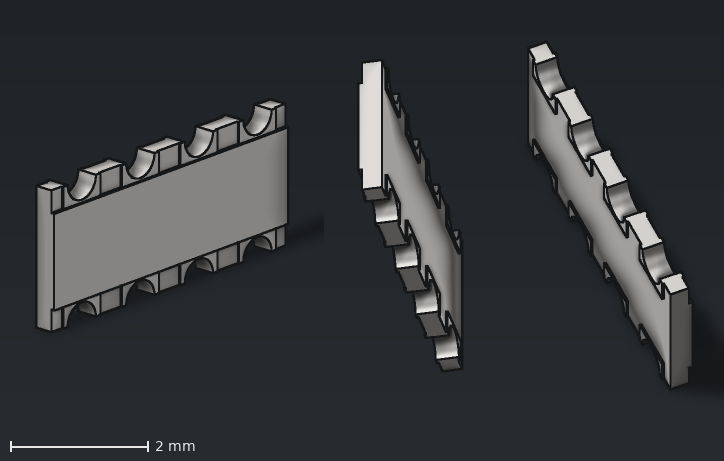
import cadquery as cq

plate_thickness = 0.3
plate_length = 5.08
plate_height = 2.2

terminal_count = 4
terminal_pitch = 1.27
terminal_width = 0.805
terminal_height = 0.35
pad_thickness = 0.025
notch_radius = 0.305

coating_thickness = 0.055
coating_height = plate_height - 2 * terminal_height

terminal_start = -pad_thickness
terminal_thickness = plate_thickness + 2 * pad_thickness
row_start = -terminal_pitch * (terminal_count - 1) / 2
terminal_centres = [row_start + i * terminal_pitch for i in range(terminal_count)]


def block(x_start, thickness, length, height, y=0.0, z=0.0):
    """Box starting at x_start and centred on (y, z)."""
    box = cq.Workplane("XY").box(thickness, length, height, centered=(False, True, True))
    return box.translate((x_start, y, z))


def terminal(y, side):
    """Pads on both plate faces at one edge; side is +1 for top, -1 for bottom."""
    z = side * (plate_height - terminal_height) / 2
    return block(terminal_start, terminal_thickness, terminal_width, terminal_height, y, z)


def notch(y, side):
    """Round cutter through plate and pads, centred on the plate edge."""
    edge_point = (terminal_start, y, side * plate_height / 2)
    return cq.Workplane("YZ", origin=edge_point).circle(notch_radius).extrude(terminal_thickness)


plate = block(0.0, plate_thickness, plate_length, plate_height)
coating = block(plate_thickness, coating_thickness, plate_length, coating_height)

result = plate.union(coating)
for side in (1, -1):
    for y in terminal_centres:
        result = result.union(terminal(y, side)).cut(notch(y, side))